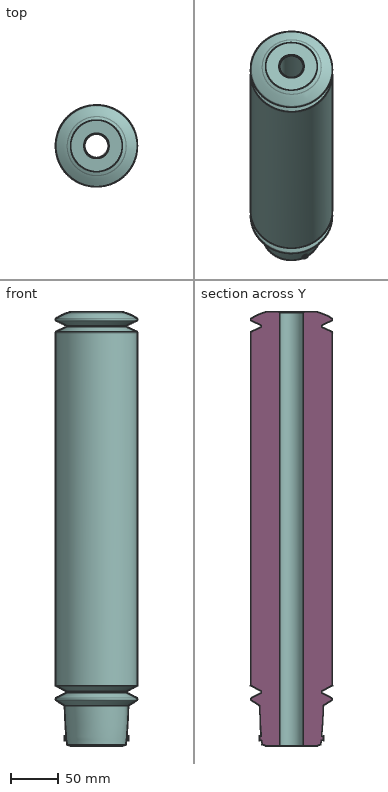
import cadquery as cq

length = 461.2
outer_radius = 87.0 / 2
bore_diameter = 25.0
bore_chamfer = 1.0

spigot_top_z = 43.0
spigot_top_radius = 34.0
spigot_middle_radius = 33.0
spigot_bottom_radius = 31.5
end_face_radius = 55.0 / 2
end_bevel_height = 1.5

rim_half_height = 1.5
rim_edge_radius = 43.0
lower_rim_z = 50.0
upper_rim_z = 453.0
top_bevel_radius = 31.5

crown_radius = 37.5
crown_z = 457.5

groove_radius = 32.5
groove_root_width = 1.5
lower_groove_z = 56.7
upper_groove_z = 445.0

body_bottom_z = 64.0
body_top_z = 440.0
body_edge_height = 1.5
body_edge_setback = 0.25

pin_diameter = 5.0
pin_z = 8.5
pin_tip_radius = 34.0
pin_root_radius = 27.5


def make_body():
    """Revolve the outer half-profile about Z."""
    profile = (
        cq.Workplane("XZ")
        .lineTo(end_face_radius, 0)
        .lineTo(spigot_bottom_radius, end_bevel_height)
        .threePointArc(
            (spigot_middle_radius, (spigot_top_z + end_bevel_height) / 2),
            (spigot_top_radius, spigot_top_z),
        )
        .lineTo(rim_edge_radius, lower_rim_z - rim_half_height)
        .threePointArc(
            (outer_radius, lower_rim_z),
            (rim_edge_radius, lower_rim_z + rim_half_height),
        )
        .lineTo(groove_radius, lower_groove_z)
        .lineTo(groove_radius, lower_groove_z + groove_root_width)
        .lineTo(outer_radius, body_bottom_z)
        .lineTo(outer_radius, body_top_z - body_edge_height)
        .lineTo(outer_radius - body_edge_setback, body_top_z)
        .lineTo(groove_radius, upper_groove_z)
        .lineTo(groove_radius, upper_groove_z + groove_root_width)
        .lineTo(rim_edge_radius, upper_rim_z - rim_half_height)
        .threePointArc(
            (outer_radius, upper_rim_z),
            (rim_edge_radius, upper_rim_z + rim_half_height),
        )
        .threePointArc(
            (crown_radius, crown_z),
            (top_bevel_radius, length - end_bevel_height),
        )
        .lineTo(end_face_radius, length)
        .lineTo(0, length)
        .close()
    )
    return profile.revolve(360, (0, 0, 0), (0, 1, 0))


def make_pin(side):
    """Make a radial pin on the +X (side = 1) or -X (side = -1) face of the spigot."""
    return (
        cq.Workplane("YZ", origin=(side * pin_root_radius, 0, pin_z))
        .circle(pin_diameter / 2)
        .extrude(side * (pin_tip_radius - pin_root_radius))
    )


result = make_body()
for side in (-1, 1):
    result = result.union(make_pin(side))

bore = cq.Workplane("XY").circle(bore_diameter / 2).extrude(length)
result = result.cut(bore)
bore_mouth = cq.selectors.RadiusNthSelector(0)
result = result.faces(">Z").edges(bore_mouth).chamfer(bore_chamfer)